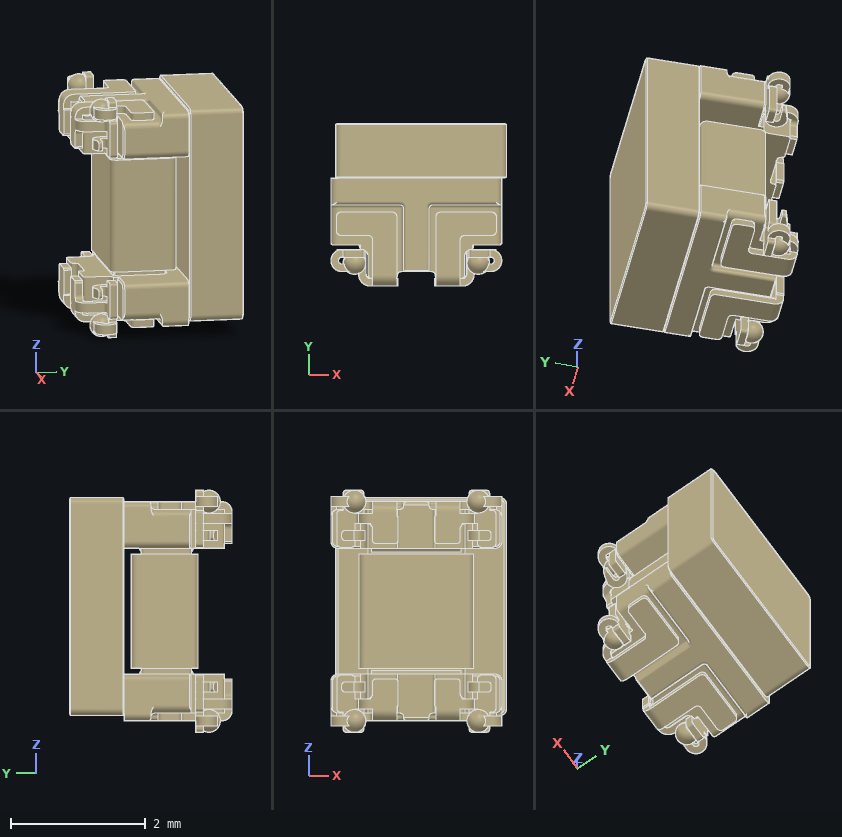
import cadquery as cq


CORE_WIDTH = 2.54
CORE_HEIGHT = 3.24
CORE_BACK = 1.415
CORE_FRONT = 0.60
CORE_OFFSET = 0.07
CORE_CORNER = 0.10
CORE_BEVEL_DEPTH = 0.015
CORE_BEVEL_WIDTH = 0.035

WINDING_WIDTH = 1.70
WINDING_DEPTH = 0.995
WINDING_HEIGHT = 1.70
WINDING_CORNER = 0.10
NECK_WIDTH = 1.44
NECK_DEPTH = 0.75
NECK_CENTRE_Y = -0.027
NECK_CORNER = 0.055
NECK_FLARE = 0.035
NECK_FLARE_HEIGHT = 0.055

FLANGE_HALF = 1.27
FLANGE_TOP = 1.63
FLANGE_BOTTOM = 0.935
FLANGE_FRONT = -0.395
FLANGE_CORNER = 0.10
FLANGE_BEVEL = 0.025
STEP_HALF = 0.83
STEP_FRONT = -0.46
LEG_HALF = 0.72
LEG_FRONT = -0.89
LEG_CORNER = 0.05
LEG_ROOT_ROUND = 0.10
RECESS_HALF = 0.28
RECESS_FRONT = -0.79
RECESS_INNER_ROUND = 0.055
RECESS_OUTER_ROUND = 0.04
STEM_BEVEL_DEPTH = 0.02
STEM_BEVEL_HEIGHT = 0.05
STEM_BEVEL_HALF = 0.20

SHEET = 0.115
POCKET_FLOOR = FLANGE_TOP - SHEET
POCKET_BACK = 0.20
POCKET_INNER = 0.19
POCKET_ROUND = 0.05
POCKET_EDGE_ROUND = 0.115

PAD_OUTER = -1.19
PAD_INNER = -0.29
PAD_ARM_INNER = -0.65
PAD_BACK = 0.095
PAD_FRONT = -0.25
PAD_CORNER = 0.07
TERMINAL_FRONT = LEG_FRONT - SHEET
BEND_ROUND = 0.155
FACE_INNER = -0.27
FACE_BOTTOM = 1.005
FACE_SHOULDER = 1.43
FACE_CORNER = 0.03
FACE_WEB = 0.08
STRAP_BOTTOM = 1.30
STRAP_TOP = 1.455
STRAP_OUTER = -0.86
STRAP_CURVE = 0.18
PLATE_BACK = -0.46
PLATE_FRONT = PLATE_BACK - SHEET
PLATE_OUTER = -1.18
PLATE_INNER = -0.91
PLATE_BOTTOM = 0.95
PLATE_SHOULDER = 1.50
PLATE_TOP = 1.80
PLATE_CORNER = 0.05
TAB_OUTER = -1.09
TAB_INNER = -0.78
LOOP_HOLE = 0.05
LOOP_RADIUS = LOOP_HOLE + SHEET
LOOP_Y = PLATE_BACK - LOOP_RADIUS
LOOP_HEIGHT = 0.15
UPPER_LOOP_X = -1.105
UPPER_LOOP_BOTTOM = 1.555
UPPER_LOOP_END = -0.98
HOOK_X = -0.93
HOOK_BOTTOM = 1.05
HOOK_END = -1.11
HOOK_TAPER = 0.06
HOOK_END_ROUND = 0.05
SOLDER_X = -0.92
SOLDER_Y = -0.66
SOLDER_Z = 1.63
SOLDER_RADIUS = 0.17

PICK_REACH = 0.02


def box(x_range, y_range, z_range):
    """Axis-aligned block between the given pairs of coordinates."""
    size = [abs(b - a) for a, b in (x_range, y_range, z_range)]
    low = [min(pair) for pair in (x_range, y_range, z_range)]
    return cq.Workplane("XY").box(*size, centered=False).translate(tuple(low))


def near_point(x, y):
    """Selector for upright edges standing at the given point of the XY plane."""
    return cq.selectors.BoxSelector(
        (x - PICK_REACH, y - PICK_REACH, 0), (x + PICK_REACH, y + PICK_REACH, 2 * FLANGE_TOP)
    )


def make_core():
    """Core block with rounded long edges and bevelled front and back faces."""
    core = box(
        (-CORE_WIDTH / 2, CORE_WIDTH / 2),
        (CORE_FRONT, CORE_BACK),
        (-CORE_HEIGHT / 2, CORE_HEIGHT / 2),
    )
    core = core.edges("|Y").fillet(CORE_CORNER)
    core = core.faces("<Y or >Y").edges().chamfer(CORE_BEVEL_WIDTH, CORE_BEVEL_DEPTH)
    return core.translate((CORE_OFFSET, 0, CORE_OFFSET))


def make_winding():
    """Wire winding as one block with rounded upright edges."""
    winding = cq.Workplane("XY").box(WINDING_WIDTH, WINDING_DEPTH, WINDING_HEIGHT)
    return winding.edges("|Z").fillet(WINDING_CORNER)


def make_neck():
    """Spool neck joining the winding to the upper flange, flared front and back."""
    neck = (
        cq.Workplane("XY", origin=(0, NECK_CENTRE_Y, 0))
        .rect(NECK_WIDTH, NECK_DEPTH)
        .extrude(FLANGE_BOTTOM)
        .edges("|Z")
        .fillet(NECK_CORNER)
    )
    flat_width = NECK_WIDTH - 2 * NECK_CORNER
    flare = (
        cq.Workplane("XY", origin=(0, NECK_CENTRE_Y, FLANGE_BOTTOM - NECK_FLARE_HEIGHT))
        .rect(flat_width, NECK_DEPTH)
        .workplane(offset=NECK_FLARE_HEIGHT)
        .rect(flat_width, NECK_DEPTH + 2 * NECK_FLARE)
        .loft(ruled=True)
    )
    return neck.union(flare)


def make_flange_blank():
    """Flange with its legs at full height, before the lead pockets are cut."""
    heights = (FLANGE_BOTTOM, FLANGE_TOP)
    wings = box((-FLANGE_HALF, FLANGE_HALF), (FLANGE_FRONT, CORE_FRONT), heights)
    wings = wings.edges("|Y").fillet(FLANGE_CORNER)
    wings = wings.faces("<Y").edges().chamfer(FLANGE_BEVEL)
    step = box((-STEP_HALF, STEP_HALF), (STEP_FRONT, 0), heights)
    legs = box((-LEG_HALF, LEG_HALF), (LEG_FRONT, 0), heights)
    legs = legs.edges("|Z and <Y").fillet(LEG_CORNER)
    recess = box((-RECESS_HALF, RECESS_HALF), (LEG_FRONT, RECESS_FRONT), heights)
    legs = legs.cut(recess)
    for side in (-1, 1):
        inner = near_point(side * RECESS_HALF, RECESS_FRONT)
        legs = legs.edges("|Z").edges(inner).fillet(RECESS_INNER_ROUND)
        outer = near_point(side * RECESS_HALF, LEG_FRONT)
        legs = legs.edges("|Z").edges(outer).fillet(RECESS_OUTER_ROUND)
    front = step.union(legs)
    for side in (-1, 1):
        root = near_point(side * LEG_HALF, STEP_FRONT)
        front = front.edges("|Z").edges(root).fillet(LEG_ROOT_ROUND)
    return wings.union(front)


def make_stem_bevel():
    """Wedge removed from the top front edge of the stem between the leads."""
    return (
        cq.Workplane("YZ", origin=(-STEM_BEVEL_HALF, 0, 0))
        .moveTo(RECESS_FRONT, FLANGE_TOP)
        .lineTo(RECESS_FRONT + STEM_BEVEL_DEPTH, FLANGE_TOP)
        .lineTo(RECESS_FRONT, FLANGE_TOP - STEM_BEVEL_HEIGHT)
        .close()
        .extrude(2 * STEM_BEVEL_HALF)
    )


def make_deck_envelope():
    """Raised T over a lowered deck, reaching past the flange at its back, front and sides."""
    depth = (2 * LEG_FRONT, 2 * CORE_FRONT)
    reach = 2 * FLANGE_HALF
    deck = box((-FLANGE_HALF, FLANGE_HALF), depth, (0, POCKET_FLOOR))
    deck = deck.edges("|Y and >Z").fillet(POCKET_EDGE_ROUND)
    bar = box((-reach, reach), (POCKET_BACK, 2 * CORE_FRONT), (0, FLANGE_TOP))
    stem = box((-POCKET_INNER, POCKET_INNER), depth, (0, FLANGE_TOP))
    raised = bar.union(stem)
    for side in (-1, 1):
        corner = near_point(side * POCKET_INNER, POCKET_BACK)
        raised = raised.edges("|Z").edges(corner).fillet(POCKET_ROUND)
    rim = cq.selectors.BoxSelector(
        (-reach, depth[0] + PICK_REACH, FLANGE_TOP - PICK_REACH),
        (reach, POCKET_BACK + PICK_REACH, FLANGE_TOP + PICK_REACH),
    )
    raised = raised.edges(rim).fillet(POCKET_ROUND)
    envelope = deck.union(raised)
    foot = cq.selectors.BoxSelector(
        (-FLANGE_HALF, depth[0] + PICK_REACH, POCKET_FLOOR - PICK_REACH),
        (FLANGE_HALF, POCKET_BACK + PICK_REACH, POCKET_FLOOR + PICK_REACH),
    )
    return envelope.edges(foot).fillet(POCKET_ROUND)


def make_flange():
    """Upper flange: a raised T with a lowered pocket for the lead on either side."""
    return make_flange_blank().cut(make_stem_bevel()).intersect(make_deck_envelope())


def make_pad():
    """L-shaped pad lying in the pocket; its front arm bends down over the leg."""
    wing = (
        cq.Workplane("XY", origin=(0, 0, POCKET_FLOOR))
        .moveTo(PAD_OUTER, PAD_BACK)
        .lineTo(PAD_INNER, PAD_BACK)
        .lineTo(PAD_INNER, TERMINAL_FRONT + BEND_ROUND)
        .lineTo(PAD_ARM_INNER, TERMINAL_FRONT + BEND_ROUND)
        .lineTo(PAD_ARM_INNER, PAD_FRONT)
        .lineTo(PAD_OUTER, PAD_FRONT)
        .close()
        .extrude(SHEET)
    )
    corners = cq.selectors.BoxSelector(
        (2 * PAD_OUTER, PAD_FRONT - SHEET, 0), (0, 2 * PAD_BACK, 2 * FLANGE_TOP)
    )
    wing = wing.edges("|Z").edges(corners).fillet(PAD_CORNER)
    bend = box((PAD_ARM_INNER, PAD_INNER), (TERMINAL_FRONT, PAD_FRONT), (FACE_SHOULDER, FLANGE_TOP))
    bend = bend.edges("|X and <Y and >Z").fillet(BEND_ROUND)
    bend = bend.cut(box((PAD_ARM_INNER, PAD_INNER), (LEG_FRONT, PAD_FRONT), (0, POCKET_FLOOR)))
    face = box((PAD_ARM_INNER, FACE_INNER), (TERMINAL_FRONT, LEG_FRONT), (FACE_BOTTOM, FACE_SHOULDER))
    face = face.edges("|Y").chamfer(FACE_CORNER)
    face = face.union(
        box((PAD_ARM_INNER, PAD_INNER), (TERMINAL_FRONT, LEG_FRONT), (STRAP_BOTTOM, FACE_SHOULDER))
    )
    web = box(
        (PAD_ARM_INNER - FACE_WEB, PAD_ARM_INNER),
        (TERMINAL_FRONT, LEG_FRONT),
        (STRAP_BOTTOM - FACE_WEB, STRAP_BOTTOM),
    )
    hollow = (
        cq.Workplane("XZ", origin=(PAD_ARM_INNER - FACE_WEB, LEG_FRONT, STRAP_BOTTOM - FACE_WEB))
        .circle(FACE_WEB)
        .extrude(SHEET)
    )
    return wing.union(bend).union(face).union(web.cut(hollow))


def make_strap():
    """Strap that runs from the front face round the leg to the side plate."""
    strap = (
        cq.Workplane("XY", origin=(0, 0, STRAP_BOTTOM))
        .moveTo(PAD_ARM_INNER, TERMINAL_FRONT)
        .lineTo(STRAP_OUTER, TERMINAL_FRONT)
        .lineTo(STRAP_OUTER, PLATE_FRONT)
        .lineTo(PLATE_INNER - LOOP_HOLE, PLATE_FRONT)
        .lineTo(PLATE_INNER - LOOP_HOLE, PLATE_BACK)
        .lineTo(STRAP_OUTER + SHEET, PLATE_BACK)
        .lineTo(STRAP_OUTER + SHEET, LEG_FRONT)
        .lineTo(PAD_ARM_INNER, LEG_FRONT)
        .close()
        .extrude(STRAP_TOP - STRAP_BOTTOM)
    )

    inner_x = STRAP_OUTER + SHEET
    rounded_corners = (
        (STRAP_OUTER, TERMINAL_FRONT, STRAP_CURVE),
        (inner_x, LEG_FRONT, STRAP_CURVE - SHEET),
        (STRAP_OUTER, PLATE_FRONT, LOOP_HOLE),
        (inner_x, PLATE_BACK, LOOP_HOLE),
    )
    for x, y, radius in rounded_corners:
        strap = strap.edges("|Z").edges(near_point(x, y)).fillet(radius)
    return strap


def make_plate():
    """Upright side plate with a tab on top for the solder ball."""
    depth = (PLATE_FRONT, PLATE_BACK)
    body = box((PLATE_OUTER, PLATE_INNER), depth, (PLATE_BOTTOM, PLATE_SHOULDER))
    body = body.edges("|Y").edges("<X or <Z").fillet(PLATE_CORNER)
    tab = box((TAB_OUTER, TAB_INNER), depth, (STRAP_TOP, PLATE_TOP))
    tab = tab.edges("|Y and >Z").fillet(PLATE_CORNER)
    return body.union(tab)


def make_loop(centre_x, end_x, root_x, bottom, side):
    """Half-turn of wire sheet on the plate; side is the X direction of its bulge."""
    ring = (
        cq.Workplane("XY", origin=(centre_x, LOOP_Y, bottom))
        .circle(LOOP_RADIUS)
        .circle(LOOP_HOLE)
        .extrude(LOOP_HEIGHT)
    )
    heights = (bottom, bottom + LOOP_HEIGHT)
    half = box(
        (centre_x, centre_x + side * LOOP_RADIUS),
        (LOOP_Y - LOOP_RADIUS, LOOP_Y + LOOP_RADIUS),
        heights,
    )
    free_arm = box((centre_x, end_x), (LOOP_Y - LOOP_RADIUS, LOOP_Y - LOOP_HOLE), heights)
    root = box((centre_x, root_x), (PLATE_FRONT, PLATE_BACK), heights)
    return ring.intersect(half).union(free_arm).union(root)


def make_hook():
    """Lower wire hook with a tapered, rounded free end."""
    hook = make_loop(HOOK_X, HOOK_END, PLATE_INNER - SHEET, HOOK_BOTTOM, 1)
    front = LOOP_Y - LOOP_RADIUS
    taper = (
        cq.Workplane("XY", origin=(0, 0, HOOK_BOTTOM))
        .moveTo(HOOK_X, front)
        .lineTo(HOOK_END, front)
        .lineTo(HOOK_END, front + HOOK_TAPER)
        .close()
        .extrude(LOOP_HEIGHT)
    )
    hook = hook.cut(taper)
    return hook.edges("|Y and <X").fillet(HOOK_END_ROUND)


def make_terminal():
    """Complete terminal at the -X end of the upper flange."""
    upper_loop = make_loop(UPPER_LOOP_X, UPPER_LOOP_END, UPPER_LOOP_END, UPPER_LOOP_BOTTOM, -1)
    solder = cq.Workplane("XY").sphere(SOLDER_RADIUS).translate((SOLDER_X, SOLDER_Y, SOLDER_Z))
    behind_plate = box(
        (SOLDER_X - SOLDER_RADIUS, SOLDER_X + SOLDER_RADIUS),
        (PLATE_FRONT, 0),
        (SOLDER_Z - SOLDER_RADIUS, SOLDER_Z + SOLDER_RADIUS),
    )
    terminal = make_pad()
    for piece in (make_strap(), make_plate(), upper_loop, make_hook(), solder.cut(behind_plate)):
        terminal = terminal.union(piece)
    return terminal


def make_upper_end():
    """Everything above the winding: neck, flange and a pair of terminals."""
    terminal = make_terminal()
    return make_neck().union(make_flange()).union(terminal).union(terminal.mirror("YZ"))


upper_end = make_upper_end()
result = make_core().union(make_winding()).union(upper_end).union(upper_end.mirror("XY"))